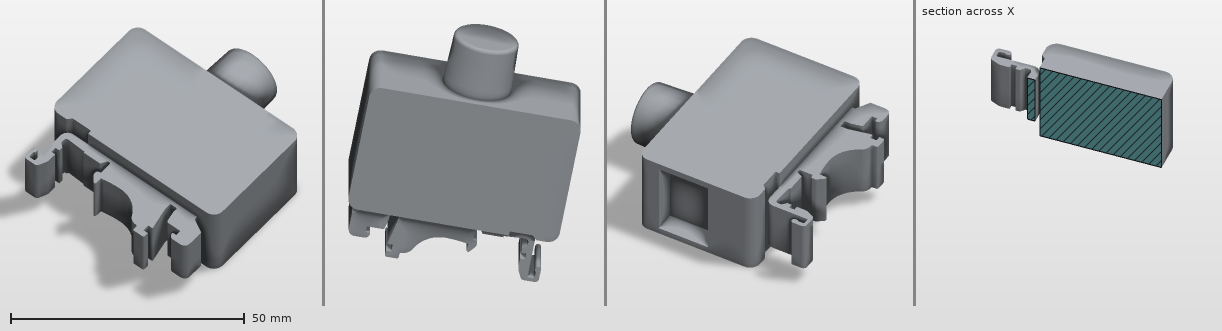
import cadquery as cq
import math


housing_length = 46.0
housing_depth = 29.05
housing_height = 19.6
housing_corner_radius = 2.5

relief_depth = 1.0
relief_left = -18.35
relief_right = -12.4
relief_slope_run = 0.95
relief_corner_radius = 0.25

window_width = 12.3
window_height = 16.7
window_depth = 4.8
window_to_back = 5.3

button_length = 11.5
button_base_radius = 7.5
button_tip_radius = 7.0
button_rim_radius = 0.85

foot_height = 11.9
foot_bottom = -11.45
rail_groove_top = -5.2
rail_groove_bottom = -6.55

arm_left = -18.4
arm_right = -16.05
arm_groove_x = -17.1
arm_shoulder_radius = 2.0
arm_inner_radius = 0.8
arm_nose_top = -4.15
arm_nose_foot = -3.3
arm_taper_top = -9.0
arm_taper_radius = 2.6
arm_taper_foot = -17.2
arm_foot_radius = 0.85
hook_left = -20.95
hook_slot_left = -19.95
hook_lip_right = -19.7
hook_lip_bottom = -8.95
hook_top = -7.8
hook_tip_radius = 0.55
hook_bottom_radius = 0.95
hook_slot_bottom = -10.6
bar_slope_start = -1.7
bar_slope_end = -2.05
bar_step_x = -11.65
bar_underside = -2.35

notch_left = -7.05
notch_top = -0.8
notch_slope_end = -6.25
notch_round = 0.3
saddle_left = -5.4
finger_shelf_inner = -4.05
finger_shelf_outer = -4.3
finger_left = -6.35
finger_slope_top = -5.45
finger_slope_radius = 0.8
finger_tip_left = -5.0
finger_round = 0.3
finger_right = -4.45
finger_bottom = -7.1
arch_spring_x = -4.1
arch_spring_y = -5.2
arch_shallow_radius = 24.95
arch_crown_x = 0.55
arch_crown_y = -4.75
arch_radius = 7.2
arch_sweep = 63
ledge_y = -9.95
leg_left = 9.5
leg_right = 12.55
leg_groove_x = 11.35
leg_groove_top = -8.4
leg_groove_bottom = -10.05
leg_round = 0.4

slit_left = 11.35
slit_right = 13.2
slit_top = -1.0
slit_left_bend = -2.8
slit_right_bend = -2.4
slit_foot_x = 13.8
slit_foot_radius = 0.5
claw_bottom = -7.9
claw_right = 21.25
claw_groove_x = 17.6
claw_tip_x = 16.6
claw_tip_radius = 1.1
claw_bottom_radius = 1.45
claw_shoulder = -2.65
claw_neck_x = 17.95
claw_neck_y = -0.85

small_round = 0.2
slot_round = 0.3


def trace(sketch, corners):
    """Draw lines through (x, y, radius) corners, rounding each one that has a radius.

    The first corner is the current point; the first and last corners stay sharp.
    """
    for before, corner, after in zip(corners, corners[1:], corners[2:]):
        point = cq.Vector(corner[0], corner[1])
        radius = corner[2]
        if radius == 0:
            sketch = sketch.lineTo(point.x, point.y)
            continue
        towards_before = (cq.Vector(before[0], before[1]) - point).normalized()
        towards_after = (cq.Vector(after[0], after[1]) - point).normalized()
        half_angle = towards_before.getAngle(towards_after) / 2
        setback = radius / math.tan(half_angle)
        bisector = (towards_before + towards_after).normalized()
        arc_start = point + towards_before * setback
        arc_middle = point + bisector * (radius / math.sin(half_angle) - radius)
        arc_end = point + towards_after * setback
        sketch = sketch.lineTo(arc_start.x, arc_start.y)
        sketch = sketch.threePointArc((arc_middle.x, arc_middle.y), (arc_end.x, arc_end.y))
    return sketch.lineTo(corners[-1][0], corners[-1][1])


def extrude_about_middle(sketch, height):
    """Close the outline and extrude it equally above and below Z = 0."""
    return sketch.close().extrude(height / 2, both=True)


def make_housing():
    housing = (
        cq.Workplane("XY")
        .box(housing_length, housing_depth, housing_height)
        .edges("|Z")
        .fillet(housing_corner_radius)
        .translate((0, housing_depth / 2, 0))
    )
    relief_corners = [
        (relief_left, 0, 0),
        (relief_left + relief_slope_run, relief_depth, 0),
        (relief_right, relief_depth, relief_corner_radius),
        (relief_right, 0, 0),
    ]
    relief = cq.Workplane("XY").moveTo(relief_left, 0)
    relief = extrude_about_middle(trace(relief, relief_corners), housing_height)
    window_centre_y = housing_depth - window_to_back - window_width / 2
    window = cq.Workplane("XY").box(window_depth, window_width, window_height).translate(
        ((window_depth - housing_length) / 2, window_centre_y, 0)
    )
    return housing.cut(relief).cut(window)


def make_button():
    button_tip_y = housing_depth + button_length
    profile = [
        (0, housing_depth),
        (-button_base_radius, housing_depth),
        (-button_tip_radius, button_tip_y),
        (0, button_tip_y),
    ]
    button = cq.Workplane("XY").polyline(profile).close().revolve(360, (0, 0), (0, 1))
    return button.faces(">Y").edges().fillet(button_rim_radius)


def make_foot():
    sweep = math.radians(arch_sweep)
    arch_end = (
        arch_crown_x + arch_radius * math.sin(sweep),
        arch_crown_y - arch_radius * (1 - math.cos(sweep)),
    )
    toe_radius = (arch_end[1] - ledge_y) / (1 - math.cos(sweep))
    toe_end = (arch_end[0] + toe_radius * math.sin(sweep), ledge_y)

    latch_corners = [
        (notch_left, 0, 0),
        (arm_left, 0, arm_shoulder_radius),
        (arm_left, hook_slot_bottom, small_round),
        (hook_slot_left, hook_slot_bottom, slot_round),
        (hook_slot_left, hook_lip_bottom, 0),
        (hook_lip_right, hook_lip_bottom, 0),
        (hook_lip_right, hook_top, hook_tip_radius),
        (hook_left, hook_top, hook_tip_radius),
        (hook_left, foot_bottom, hook_bottom_radius),
        (arm_taper_foot, foot_bottom, arm_foot_radius),
        (arm_right, arm_taper_top, arm_taper_radius),
        (arm_right, rail_groove_bottom, 0),
        (arm_groove_x, rail_groove_bottom, 0),
        (arm_groove_x, rail_groove_top, 0),
        (arm_right, rail_groove_top, 0),
        (arm_right, arm_nose_top, 0),
        (arm_groove_x, arm_nose_foot, 0),
        (arm_groove_x, bar_slope_start, arm_inner_radius),
        (bar_step_x, bar_slope_end, 0),
        (bar_step_x, bar_underside, 0),
        (notch_left, bar_underside, 0),
        (notch_slope_end, notch_top, notch_round),
        (saddle_left, notch_top, notch_round),
        (saddle_left, finger_shelf_inner, small_round),
        (finger_left, finger_shelf_outer, finger_round),
        (finger_left, finger_slope_top, finger_slope_radius),
        (finger_tip_left, finger_bottom, finger_round),
        (finger_right, finger_bottom, finger_round),
        (finger_right, arch_spring_y, small_round),
        (arch_spring_x, arch_spring_y, 0),
    ]
    claw_corners = [
        (*toe_end, 0),
        (leg_left, ledge_y, leg_round),
        (leg_left, foot_bottom, leg_round),
        (leg_right, foot_bottom, leg_round),
        (leg_right, leg_groove_bottom, 0),
        (leg_groove_x, leg_groove_bottom, 0),
        (leg_groove_x, leg_groove_top, 0),
        (leg_right, leg_groove_top, small_round),
        (slit_left, slit_left_bend, 0),
        (slit_left, slit_top, small_round),
        (slit_right, slit_top, small_round),
        (slit_right, slit_right_bend, 0),
        (slit_foot_x, rail_groove_top, slit_foot_radius),
        (claw_groove_x, rail_groove_top, 0),
        (claw_groove_x, rail_groove_bottom, 0),
        (claw_tip_x, rail_groove_bottom, small_round),
        (claw_tip_x, claw_bottom, claw_tip_radius),
        (claw_right, claw_bottom, claw_bottom_radius),
        (claw_right, claw_shoulder, 0),
        (claw_neck_x, claw_neck_y, small_round),
        (claw_neck_x, 0, 0),
    ]
    foot = trace(cq.Workplane("XY").moveTo(notch_left, 0), latch_corners)
    foot = foot.radiusArc((arch_crown_x, arch_crown_y), arch_shallow_radius)
    foot = foot.radiusArc(arch_end, arch_radius)
    foot = foot.radiusArc(toe_end, -toe_radius)
    return extrude_about_middle(trace(foot, claw_corners), foot_height)


result = make_housing().union(make_button()).union(make_foot())